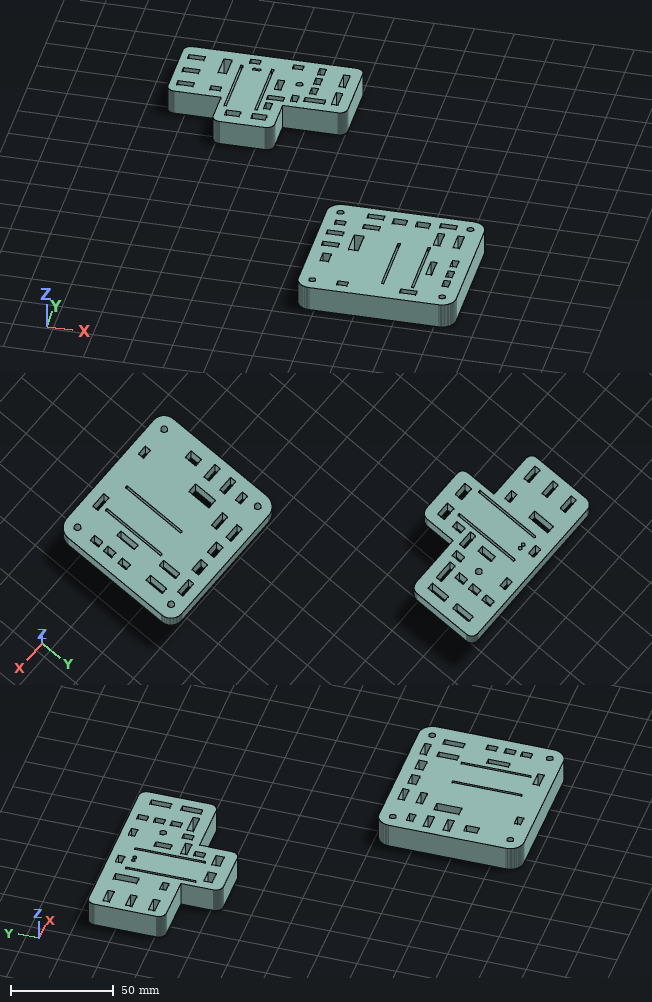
import cadquery as cq
import math

total_width = 179.0
total_depth = 190.0
thickness = 13.1
facets_per_corner = 16

square_width = 79.0
square_depth = 74.0
square_corner_radius = 7.0
square_origin = (total_width - square_width, 0, 0)

t_width = 90.0
t_depth = 60.2
t_arm_depth = 39.7
t_stem_left = 27.5
t_stem_width = 30.8
t_corner_radius = 4.0
t_origin = (0, total_depth - t_depth, 0)

long_slot = (10.3, 3.2)
medium_slot = (8.2, 3.2)
short_slot = (5.1, 3.2)
slit_width = 1.1
screw_hole_diameter = 3.2

square_slit = (35.3, slit_width)
square_window = (12.7, 5.0)
square_wide_slot = (6.6, 4.2)
square_narrow_slot = (11.0, 2.8)
square_hole_inset = 7.0

t_slit = (35.7, slit_width)
t_window = (12.0, 4.2)
t_wide_slot = (7.2, 4.2)
pin_hole_diameter = 1.75

square_top_row = 66.9
square_left_column = 8.5
square_second_column = 24.7
square_wide_row = 65.4
square_long_row = 55.0
square_short_column = 71.2
square_slit_row = 29.5

t_left_column = 8.0
t_left_top = 51.3
t_left_pitch = 11.5
t_lower_row = t_left_top - 2 * t_left_pitch
t_top_row = 54.3
t_short_column = 70.3
t_short_top = 53.2
t_short_pitch = 8.5
t_long_column = 82.8
t_wide_row = 8.4
t_slit_row = 32.0
pin_row = 47.9


def rounded_corner(corner_x, corner_y, side_x, side_y, radius):
    """Points of a faceted convex corner, counterclockwise; the sides tell which way it points."""
    center_x = corner_x - side_x * radius
    center_y = corner_y - side_y * radius
    middle_angle = math.atan2(side_y, side_x)
    points = []
    for step in range(facets_per_corner + 1):
        angle = middle_angle + math.pi / 2 * (step / facets_per_corner - 0.5)
        points.append((center_x + radius * math.cos(angle), center_y + radius * math.sin(angle)))
    return points


def make_plate(outline):
    """A flat plate of the common thickness."""
    return cq.Workplane("XY").polyline(outline).close().extrude(thickness)


def cut_slots_along_x(body, slot, centers):
    """Cut rectangular openings through the plate, their length along X."""
    length, width = slot
    cutters = cq.Workplane("XY").pushPoints(centers).rect(length, width).extrude(thickness)
    return body.cut(cutters)


def cut_slots_along_y(body, slot, centers):
    """Cut rectangular openings through the plate, their length along Y."""
    length, width = slot
    return cut_slots_along_x(body, (width, length), centers)


def cut_holes(body, diameter, centers):
    """Cut round openings through the plate."""
    cutters = cq.Workplane("XY").pushPoints(centers).circle(diameter / 2).extrude(thickness)
    return body.cut(cutters)


def make_square_plate():
    """Square plate with a screw hole in each corner."""
    radius = square_corner_radius
    body = make_plate([
        *rounded_corner(0, 0, -1, -1, radius),
        *rounded_corner(square_width, 0, 1, -1, radius),
        *rounded_corner(square_width, square_depth, 1, 1, radius),
        *rounded_corner(0, square_depth, -1, 1, radius),
    ])

    hole_columns = (square_hole_inset, square_width - square_hole_inset)
    hole_rows = (square_hole_inset, square_depth - square_hole_inset)
    body = cut_holes(body, screw_hole_diameter, [(x, y) for x in hole_columns for y in hole_rows])

    medium_centers = [
        (square_second_column, square_top_row),
        (61.0, square_top_row),
        (square_second_column, 57.5),
        (square_left_column, 49.0),
        (square_left_column, 39.0),
        (55.0, 7.5),
    ]
    body = cut_slots_along_x(body, medium_slot, medium_centers)
    body = cut_slots_along_x(body, short_slot, [(9.0, 58.1), (22.0, 7.2)])
    body = cut_slots_along_x(body, square_wide_slot, [(x, square_wide_row) for x in (37.0, 48.6)])

    body = cut_slots_along_y(body, long_slot, [(x, square_long_row) for x in (59.0, 69.0)])
    body = cut_slots_along_y(body, short_slot, [(square_short_column, y) for y in (36.3, 27.0, 18.6)])
    body = cut_slots_along_y(body, square_wide_slot, [(9.0, 27.4)])
    body = cut_slots_along_y(body, square_narrow_slot, [(61.2, 29.8)])
    body = cut_slots_along_y(body, square_window, [(20.5, 43.0)])

    body = cut_slots_along_y(body, square_slit, [(x, square_slit_row) for x in (41.0, 56.0)])
    return body.translate(square_origin)


def make_t_plate():
    """T-shaped plate, its stem pointing to -Y."""
    radius = t_corner_radius
    stem_right = t_stem_left + t_stem_width
    arm_bottom = t_depth - t_arm_depth
    body = make_plate([
        *rounded_corner(t_stem_left, 0, -1, -1, radius),
        *rounded_corner(stem_right, 0, 1, -1, radius),
        (stem_right, arm_bottom),
        *rounded_corner(t_width, arm_bottom, 1, -1, radius),
        *rounded_corner(t_width, t_depth, 1, 1, radius),
        *rounded_corner(0, t_depth, -1, 1, radius),
        *rounded_corner(0, arm_bottom, -1, -1, radius),
        (t_stem_left, arm_bottom),
    ])

    body = cut_holes(body, screw_hole_diameter, [(62.1, 40.3)])
    body = cut_holes(body, pin_hole_diameter, [(x, pin_row) for x in (37.8, 40.0)])

    left_centers = [(t_left_column, t_left_top - i * t_left_pitch) for i in range(3)]
    body = cut_slots_along_x(body, medium_slot, [*left_centers, (53.5, 25.8)])
    body = cut_slots_along_x(body, long_slot, [(72.5, t_lower_row)])
    body = cut_slots_along_x(body, short_slot, [(36.7, t_top_row), (58.1, t_top_row), (23.2, 27.5)])
    body = cut_slots_along_x(body, t_wide_slot, [(x, t_wide_row) for x in (36.3, 49.4)])

    body = cut_slots_along_y(body, long_slot, [(t_long_column, y) for y in (47.9, 32.1)])
    body = cut_slots_along_y(body, medium_slot, [(52.8, 37.5)])
    short_centers = [(t_short_column, t_short_top - i * t_short_pitch) for i in range(3)]
    body = cut_slots_along_y(body, short_slot, [*short_centers, (62.7, 27.7), (51.5, 18.5)])
    body = cut_slots_along_y(body, t_window, [(23.4, 47.1)])

    body = cut_slots_along_y(body, t_slit, [(x, t_slit_row) for x in (31.2, 46.5)])
    return body.translate(t_origin)


square_plate = make_square_plate()
t_plate = make_t_plate()
result = cq.Compound.makeCompound([square_plate.solids().val(), t_plate.solids().val()])